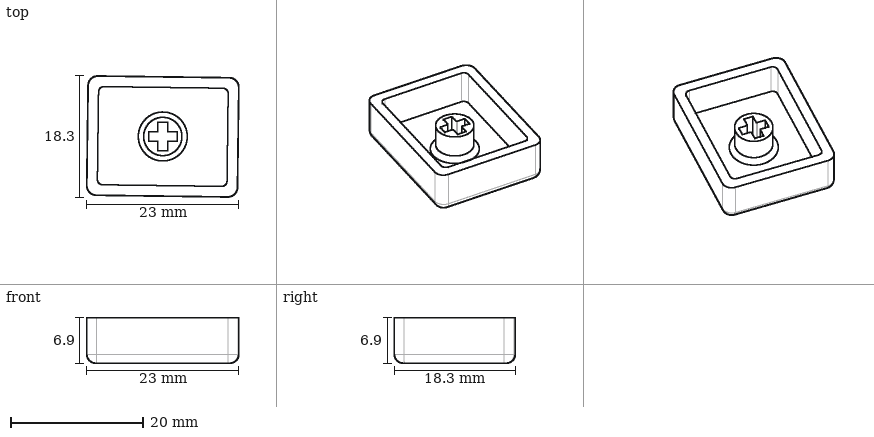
import cadquery as cq
import math

OVERALL_X = 23.0
OVERALL_Y = 18.32
HEIGHT = 6.9
TURN_ANGLE = -0.75
WALL = 1.6
FLOOR = 1.5
OUTER_RADIUS = 1.5
BOTTOM_RADIUS = 1.4
CAVITY_RADIUS = 0.8

CORE_X = OVERALL_X - 2 * OUTER_RADIUS
CORE_Y = OVERALL_Y - 2 * OUTER_RADIUS
TURN_COS = math.cos(math.radians(TURN_ANGLE))
TURN_SIN = abs(math.sin(math.radians(TURN_ANGLE)))
TURN_SCALE = TURN_COS**2 - TURN_SIN**2
LENGTH = (CORE_X * TURN_COS - CORE_Y * TURN_SIN) / TURN_SCALE + 2 * OUTER_RADIUS
WIDTH = (CORE_Y * TURN_COS - CORE_X * TURN_SIN) / TURN_SCALE + 2 * OUTER_RADIUS

STEM_DIAMETER = 5.8
STEM_TOP = 5.9
FLARE = 0.8
CROSS_LENGTH = 4.3
CROSS_WIDTH = 1.45
CROSS_CORNER_RADIUS = 0.14
SOCKET_DEPTH = STEM_TOP - FLOOR


def make_shell():
    """Open box with rounded corners and a rounded bottom edge."""
    body = (
        cq.Workplane("XY")
        .rect(LENGTH, WIDTH)
        .extrude(HEIGHT)
        .edges("|Z")
        .fillet(OUTER_RADIUS)
        .faces("<Z")
        .edges()
        .fillet(BOTTOM_RADIUS)
    )
    cavity = (
        cq.Workplane("XY", origin=(0, 0, FLOOR))
        .rect(LENGTH - 2 * WALL, WIDTH - 2 * WALL)
        .extrude(HEIGHT - FLOOR)
        .edges("|Z")
        .fillet(CAVITY_RADIUS)
    )
    return body.cut(cavity).rotate((0, 0, 0), (0, 0, 1), TURN_ANGLE)


def make_stem():
    """Post revolved from its half profile, standing on the floor."""
    radius = STEM_DIAMETER / 2
    return (
        cq.Workplane("XZ")
        .moveTo(0, FLOOR)
        .lineTo(radius + FLARE, FLOOR)
        .lineTo(radius, FLOOR + FLARE)
        .lineTo(radius, STEM_TOP)
        .lineTo(0, STEM_TOP)
        .close()
        .revolve(360, (0, 0, 0), (0, 1, 0))
    )


def make_socket():
    """Cross-shaped cutter whose four inner corners are eased."""
    base = cq.Workplane("XY", origin=(0, 0, STEM_TOP - SOCKET_DEPTH))
    along_x = base.rect(CROSS_LENGTH, CROSS_WIDTH).extrude(SOCKET_DEPTH)
    along_y = base.rect(CROSS_WIDTH, CROSS_LENGTH).extrude(SOCKET_DEPTH)
    inner_box = cq.selectors.BoxSelector(
        (-CROSS_WIDTH, -CROSS_WIDTH, 0), (CROSS_WIDTH, CROSS_WIDTH, HEIGHT)
    )
    cross = along_x.union(along_y)
    return cross.edges("|Z").edges(inner_box).fillet(CROSS_CORNER_RADIUS)


result = make_shell().union(make_stem()).cut(make_socket())